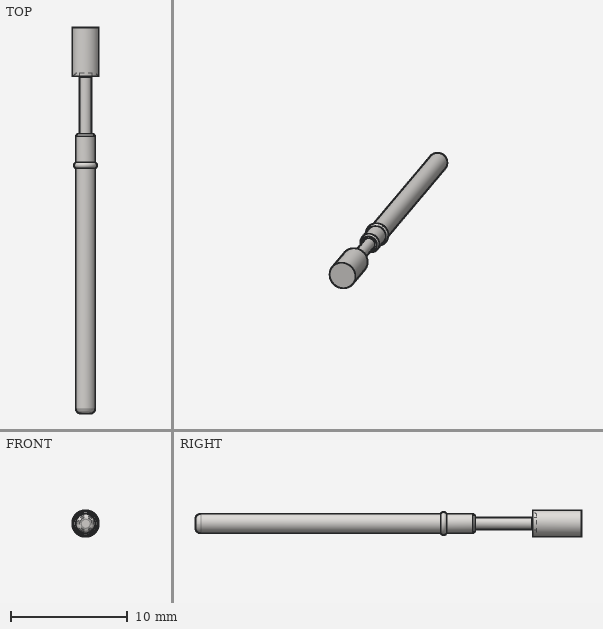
import cadquery as cq

head_diameter = 2.3
head_length = 4.2
plunger_diameter = 1.04
hub_diameter = 1.1
hub_overhang = 0.08
barrel_diameter = 1.68
ring_diameter = 2.0
ring_width = 0.5
overall_length = 33.1

barrel_tip_y = -21.27
barrel_mouth_y = 2.73
head_end_y = barrel_tip_y + overall_length
head_start_y = head_end_y - head_length

tip_radius = 0.45
mouth_chamfer_length = 0.24
mouth_chamfer_depth = 0.16
recess_depth = 0.32
recess_floor_diameter = 1.58


def rod(diameter, start_y, end_y):
    """Solid round bar on the Y axis between two stations."""
    return (
        cq.Workplane("XZ", origin=(0, start_y, 0))
        .circle(diameter / 2)
        .extrude(start_y - end_y)
    )


def make_barrel():
    """Barrel with a rounded closed tip and a tapered mouth."""
    barrel_radius = barrel_diameter / 2
    body_end_y = barrel_mouth_y - mouth_chamfer_length
    body = rod(barrel_diameter, barrel_tip_y, body_end_y)
    body = body.faces("<Y").edges().fillet(tip_radius)
    mouth = cq.Workplane("XY").polyline([
        (0, body_end_y),
        (barrel_radius, body_end_y),
        (barrel_radius - mouth_chamfer_depth, barrel_mouth_y),
        (0, barrel_mouth_y),
    ]).close().revolve(360, (0, 0, 0), (0, 1, 0))
    return body.union(mouth)


def make_press_ring():
    """Rounded bead standing out from the barrel."""
    barrel_radius = barrel_diameter / 2
    half_width = ring_width / 2
    return (
        cq.Workplane("XY")
        .moveTo(0, -half_width)
        .lineTo(barrel_radius, -half_width)
        .threePointArc((ring_diameter / 2, 0), (barrel_radius, half_width))
        .lineTo(0, half_width)
        .close()
        .revolve(360, (0, 0, 0), (0, 1, 0))
    )


def make_head():
    """Round head with a conical recess in the face toward the barrel."""
    floor_y = head_start_y + recess_depth
    recess = cq.Workplane("XY").polyline([
        (0, head_start_y),
        (head_diameter / 2, head_start_y),
        (recess_floor_diameter / 2, floor_y),
        (0, floor_y),
    ]).close().revolve(360, (0, 0, 0), (0, 1, 0))
    return rod(head_diameter, head_start_y, head_end_y).cut(recess)


def make_plunger():
    """Plain stem and the slightly thicker hub standing on the recess floor."""
    hub_start_y = head_start_y - hub_overhang
    stem = rod(plunger_diameter, barrel_mouth_y, hub_start_y)
    hub = rod(hub_diameter, hub_start_y, head_start_y + recess_depth)
    return stem.union(hub)


result = make_barrel().union(make_press_ring()).union(make_plunger()).union(make_head())